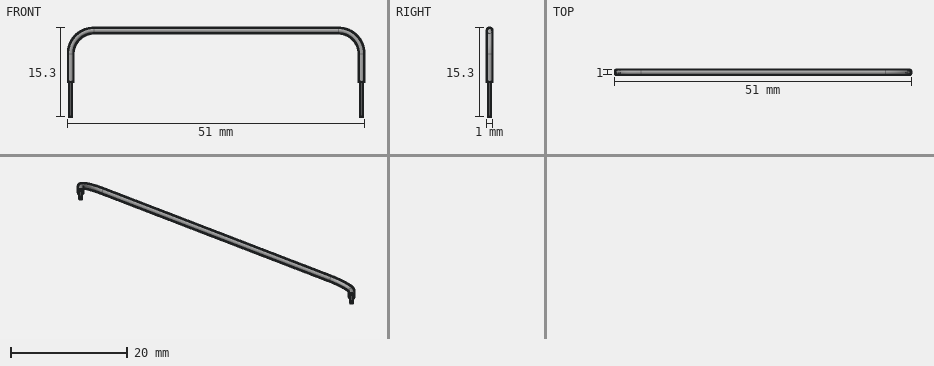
import cadquery as cq

pin_pitch = 50.0
sleeve_diameter = 1.0
pin_diameter = 0.5
bend_radius = 4.0
pin_length = 6.0
overall_height = 15.34

sleeve_top = overall_height - pin_length
axis_top = sleeve_top - sleeve_diameter / 2
bend_start = axis_top - bend_radius
half_pitch = pin_pitch / 2
half_span = half_pitch - bend_radius


def make_sleeve():
    """Insulated wire swept along a U-shaped path with two rounded corners."""
    path = (
        cq.Workplane("XZ")
        .moveTo(-half_pitch, 0)
        .lineTo(-half_pitch, bend_start)
        .tangentArcPoint((-half_span, axis_top), relative=False)
        .lineTo(half_span, axis_top)
        .tangentArcPoint((half_pitch, bend_start), relative=False)
        .lineTo(half_pitch, 0)
    )
    section = cq.Workplane("XY").center(-half_pitch, 0).circle(sleeve_diameter / 2)
    return section.sweep(path)


def make_pin(x):
    """Bare wire end hanging below the sleeve at the given x."""
    return cq.Workplane("XY").center(x, 0).circle(pin_diameter / 2).extrude(-pin_length)


result = make_sleeve()
for pin_x in (-half_pitch, half_pitch):
    result = result.union(make_pin(pin_x))